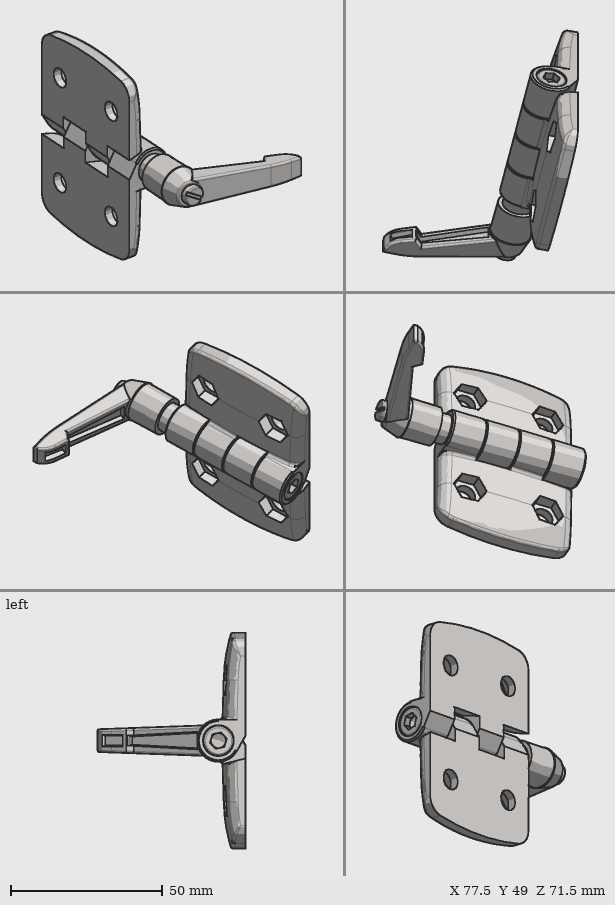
import cadquery as cq
import math


LEAF_WIDTH = 48.05
LEAF_HEIGHT = 35.76
END_RADIUS = 100.0
CORNER_RADIUS = 6.0
CROWN_HEIGHT = 7.75
CROWN_RADIUS = 201.5
SIDE_ROUND = 3.7
END_ROUND = 1.25
STRAIGHT_START = 5.4
STRAIGHT_END = 20.15
BACK_SLOPE = 0.03
BEND_RADIUS = 51.15
ROOT_ROUND = 1.1
HOLE_DIAMETER = 6.8
HOLE_LENGTH = 3.0
HEAD_RECESS_FLATS = 10.0
HOLE_INSET = 10.0
HOLE_HEIGHT = 20.0

AXIS_Y = 9.0
KNUCKLE_RADIUS = 7.0
KNUCKLE_COUNT = 4
KNUCKLE_PITCH = LEAF_WIDTH / KNUCKLE_COUNT
KNUCKLE_GAP = 0.2
KNUCKLE_CHAMFER = 0.2
OUTER_CHAMFER = 0.55
WEB_FOOT = 1.55
NOTCH_FRONT = 5.9
NOTCH_SLOPE = 0.25

HEAD_RADIUS = 4.95
HEAD_LENGTH = 6.0
HEAD_ROUND = 0.6
HEAD_CLEARANCE = 0.15
SHANK_RADIUS = 3.0
SCREW_LENGTH = 57.35
SOCKET_FLATS = 4.95
SOCKET_DEPTH = 2.5
SOCKET_ANGLE = 13.0
SOCKET_TIP = 1.25

INSERT_RADIUS = 5.1
INSERT_END = 60.45
HUB_START = 52.1
HUB_START_RADIUS = 6.7
HUB_RIM = 63.2
HUB_FLARE_RADIUS = 6.8
HUB_RIM_RADIUS = 7.01
HUB_RIM_WIDTH = 0.2
HUB_TIP = 72.1
HUB_CONE_SLOPE = 0.32
HUB_END_ROUND = 0.8
ARM_ROOT_HALF = 5.0
ARM_TIP_HALF = 3.8
ARM_ROOT_Y = 14.65
LEVER_TIP_Y = 49.0
LEVER_TIP_X = 77.5
ARM_ROUND = 0.8
POCKET_DEPTH = 1.55
POCKET_TAPER = 15.0
POCKET_CLEARANCE = 2.7
LONG_POCKET_START = 16.05
LONG_POCKET_END = 38.4
LONG_POCKET_ROOT_HALF = 2.95
LONG_POCKET_TIP_HALF = 1.7
TIP_POCKET_START = 40.6
TIP_POCKET_END = (73.6, 47.4)
TIP_POCKET_HALF = 2.0

HUB_END_LOW = (68.8, 1.9)
HUB_END_HIGH = (70.75, 12.95)
ARM_FOOT_INNER = (63.55, 13.55)
HOOK_ROOT = (72.3, 37.05)
HOOK_CORNER = (69.9, 39.4)
HOOK_TOP = (71.7, 44.5)
TIP_ARC_MIDDLE = (73.4, 47.2)
TIP_EDGE_X = 75.95
ARM_BEND = (76.55, 37.05)

BUTTON_RADIUS = 3.6
BUTTON_END = 72.15
BUTTON_ROUND = 0.5
SLOT_WIDTH = 1.2
SLOT_DEPTH = 0.7
SLOT_ANGLE = 32.0


def axial_cylinder(radius, start, end):
    """Cylinder on the hinge axis between two X positions."""
    return cq.Workplane("YZ", origin=(start, AXIS_Y, 0)).circle(radius).extrude(end - start)


def leaf_outline():
    """Mounting face outline with its bowed free end, from the hinge axis upwards."""
    half = LEAF_WIDTH / 2
    shoulder = LEAF_HEIGHT - END_RADIUS + math.sqrt(END_RADIUS**2 - half**2)
    return (
        cq.Workplane("XZ")
        .lineTo(LEAF_WIDTH, 0)
        .lineTo(LEAF_WIDTH, shoulder)
        .threePointArc((half, LEAF_HEIGHT), (0, shoulder))
        .close()
        .extrude(-2 * CROWN_HEIGHT)
        .edges("|Y")
        .edges(">Z")
        .fillet(CORNER_RADIUS)
    )


def crowned_back():
    """Bar with a crowned, side-rounded section, swept along the bending back."""
    half = LEAF_WIDTH / 2
    edge = CROWN_HEIGHT - CROWN_RADIUS + math.sqrt(CROWN_RADIUS**2 - half**2)
    section = (
        cq.Sketch()
        .segment((0, edge), (0, -CROWN_HEIGHT))
        .segment((LEAF_WIDTH, -CROWN_HEIGHT))
        .segment((LEAF_WIDTH, edge))
        .arc((LEAF_WIDTH, edge), (half, CROWN_HEIGHT), (0, edge))
        .assemble()
        .vertices(">Y")
        .fillet(SIDE_ROUND)
    )
    tilt = math.atan(BACK_SLOPE)
    bend_start_y = -BACK_SLOPE * (STRAIGHT_END - STRAIGHT_START)

    def bend_point(angle):
        return (
            bend_start_y - BEND_RADIUS * (math.cos(tilt) - math.cos(angle)),
            STRAIGHT_END + BEND_RADIUS * (math.sin(angle) - math.sin(tilt)),
        )

    end_angle = tilt + 1.2 * (LEAF_HEIGHT - STRAIGHT_END) / BEND_RADIUS
    path = (
        cq.Workplane("YZ")
        .moveTo(0, STRAIGHT_START)
        .lineTo(bend_start_y, STRAIGHT_END)
        .threePointArc(bend_point((tilt + end_angle) / 2), bend_point(end_angle))
    )
    return cq.Workplane("XY", origin=(0, 0, STRAIGHT_START)).placeSketch(section).sweep(path)


def leaf_plate():
    """Plate of a leaf, with rounded free end and a shelf that carries the knuckles."""
    plate = leaf_outline().intersect(crowned_back())
    end_edges = plate.edges(cq.selectors.BoxSelector(
        (-0.8, END_ROUND, LEAF_HEIGHT - CORNER_RADIUS - END_ROUND - 0.8),
        (LEAF_WIDTH + 0.8, CROWN_HEIGHT, LEAF_HEIGHT + 0.8),
    )).edges("%BSPLINE")
    plate = end_edges.fillet(END_ROUND)
    shelf_height = KNUCKLE_RADIUS - STRAIGHT_START
    shelf = (
        cq.Workplane("XY", origin=(0, 0, STRAIGHT_START))
        .rect(LEAF_WIDTH, AXIS_Y, centered=False)
        .extrude(shelf_height)
    )
    root_edges = plate.union(shelf).edges(cq.selectors.BoxSelector(
        (-0.8, 0.8, KNUCKLE_RADIUS - 0.1), (LEAF_WIDTH + 0.8, AXIS_Y - 0.1, KNUCKLE_RADIUS + 0.1),
    ))
    return root_edges.fillet(ROOT_ROUND)


def leaf_holes():
    """Bolt holes from the mounting face, with hexagonal head recesses from the back."""
    places = [(HOLE_INSET, HOLE_HEIGHT), (LEAF_WIDTH - HOLE_INSET, HOLE_HEIGHT)]
    back = -2 * CROWN_HEIGHT
    bores = cq.Workplane("XZ").pushPoints(places).circle(HOLE_DIAMETER / 2).extrude(back)
    hexagon = cq.Sketch().regularPolygon(HEAD_RECESS_FLATS / math.sqrt(3), 6, 90)
    recesses = (
        cq.Workplane("XZ", origin=(0, HOLE_LENGTH, 0))
        .pushPoints(places)
        .placeSketch(hexagon)
        .extrude(back)
    )
    return bores.union(recesses)


def knuckle(index):
    """Barrel joined to the plate by a web that leaves the barrel along two tangents."""
    start = index * KNUCKLE_PITCH
    end = start + KNUCKLE_PITCH
    if index > 0:
        start += KNUCKLE_GAP / 2
    if index < KNUCKLE_COUNT - 1:
        end -= KNUCKLE_GAP / 2
    foot_distance = math.hypot(AXIS_Y, WEB_FOOT)
    tangent_angle = math.asin(KNUCKLE_RADIUS / foot_distance) + math.atan(WEB_FOOT / AXIS_Y)
    web = (
        cq.Workplane("YZ", origin=(start, 0, 0))
        .moveTo(0, KNUCKLE_RADIUS)
        .lineTo(0, WEB_FOOT)
        .lineTo(AXIS_Y - KNUCKLE_RADIUS * math.sin(tangent_angle), -KNUCKLE_RADIUS * math.cos(tangent_angle))
        .lineTo(AXIS_Y, 0)
        .lineTo(AXIS_Y, KNUCKLE_RADIUS)
        .close()
        .extrude(end - start)
    )
    barrel = axial_cylinder(KNUCKLE_RADIUS, start, end)
    barrel = barrel.edges("<X").chamfer(OUTER_CHAMFER if index == 0 else KNUCKLE_CHAMFER)
    barrel = barrel.edges(">X").chamfer(OUTER_CHAMFER if index == KNUCKLE_COUNT - 1 else KNUCKLE_CHAMFER)
    return barrel.union(web)


def notch(index):
    """Clearance in the plate beside a knuckle of the other leaf, with a sloping floor."""
    start = index * KNUCKLE_PITCH - KNUCKLE_GAP / 2
    depth = 2 * CROWN_HEIGHT
    return (
        cq.Workplane("YZ", origin=(start, 0, 0))
        .lineTo(0, NOTCH_FRONT)
        .lineTo(depth, NOTCH_FRONT + NOTCH_SLOPE * depth)
        .lineTo(depth, 0)
        .close()
        .extrude(KNUCKLE_PITCH + KNUCKLE_GAP)
    )


def leaf():
    """Leaf above the hinge axis, with the first and third knuckles."""
    body = leaf_plate().cut(leaf_holes())
    for index in range(0, KNUCKLE_COUNT, 2):
        body = body.cut(notch(index + 1))
        body = body.union(knuckle(index))
    return body.cut(axial_cylinder(SHANK_RADIUS, 0, LEAF_WIDTH))


def upper_leaf():
    """Leaf that also takes the screw head in a counterbore."""
    return leaf().cut(axial_cylinder(HEAD_RADIUS + HEAD_CLEARANCE, 0, HEAD_LENGTH))


def lower_leaf():
    """The same leaf turned half a turn, so that its knuckles fill the gaps."""
    middle = LEAF_WIDTH / 2
    return leaf().rotate((middle, 0, 0), (middle, 1, 0), 180)


def cap_screw():
    """Socket head screw running through all knuckles into the lever insert."""
    head = axial_cylinder(HEAD_RADIUS, 0, HEAD_LENGTH).edges("<X").fillet(HEAD_ROUND)
    shank = axial_cylinder(SHANK_RADIUS, HEAD_LENGTH, SCREW_LENGTH)
    socket_radius = SOCKET_FLATS / math.sqrt(3)
    socket = (
        cq.Workplane("YZ", origin=(0, AXIS_Y, 0))
        .transformed(rotate=(0, 0, -SOCKET_ANGLE))
        .polygon(6, 2 * socket_radius)
        .extrude(SOCKET_DEPTH)
    )
    tip = cq.Workplane(cq.Solid.makeCone(
        SOCKET_FLATS / 2, 0, SOCKET_TIP,
        pnt=cq.Vector(SOCKET_DEPTH, AXIS_Y, 0), dir=cq.Vector(1, 0, 0),
    ))
    return head.union(shank).cut(socket).cut(tip)


def lever_insert():
    """Threaded bush between the last knuckle and the lever."""
    bush = axial_cylinder(INSERT_RADIUS, LEAF_WIDTH, INSERT_END)
    return bush.cut(axial_cylinder(SHANK_RADIUS, LEAF_WIDTH, SCREW_LENGTH))


def point_between(start, end, y):
    """Point at a given Y on the straight line through two points."""
    share = (y - start[1]) / (end[1] - start[1])
    return (start[0] + share * (end[0] - start[0]), y)


def lever_hub():
    """Turned hub, flaring to its rim and then tapering to a slanted end."""
    tip_radius = HUB_RIM_RADIUS - HUB_CONE_SLOPE * (HUB_TIP - HUB_RIM)
    turned = (
        cq.Workplane("XY", origin=(0, AXIS_Y, 0))
        .moveTo(HUB_START, 0)
        .lineTo(HUB_START, HUB_START_RADIUS)
        .lineTo(HUB_RIM - HUB_RIM_WIDTH, HUB_FLARE_RADIUS)
        .lineTo(HUB_RIM - HUB_RIM_WIDTH, HUB_RIM_RADIUS)
        .lineTo(HUB_RIM, HUB_RIM_RADIUS)
        .lineTo(HUB_TIP, tip_radius)
        .lineTo(HUB_TIP, 0)
        .close()
        .revolve(360, (0, 0, 0), (1, 0, 0))
    )
    hub_top = AXIS_Y + HUB_RIM_RADIUS
    slanted_end = (
        cq.Workplane("XY")
        .moveTo(HUB_START, 0)
        .lineTo(HUB_END_LOW[0], 0)
        .lineTo(*HUB_END_LOW)
        .lineTo(*point_between(HUB_END_LOW, HUB_END_HIGH, hub_top))
        .lineTo(HUB_START, hub_top)
        .close()
        .extrude(2 * HUB_RIM_RADIUS, both=True)
    )
    return turned.intersect(slanted_end).edges(">X").fillet(HUB_END_ROUND)


def arm_blank():
    """Arm outline with a hooked tip, tapering in thickness towards the tip."""
    foot_outer = point_between(HUB_END_HIGH, ARM_BEND, AXIS_Y)
    lean = math.atan2(ARM_BEND[0] - HUB_END_HIGH[0], ARM_BEND[1] - HUB_END_HIGH[1])
    flat_start = ARM_BEND[1] + (LEVER_TIP_X - ARM_BEND[0]) / math.tan(lean / 2)
    outline = (
        cq.Workplane("XY")
        .moveTo(*foot_outer)
        .lineTo(*ARM_BEND)
        .tangentArcPoint((LEVER_TIP_X, flat_start), relative=False)
        .lineTo(LEVER_TIP_X, LEVER_TIP_Y)
        .lineTo(TIP_EDGE_X, LEVER_TIP_Y)
        .threePointArc(TIP_ARC_MIDDLE, HOOK_TOP)
        .lineTo(*HOOK_CORNER)
        .lineTo(*HOOK_ROOT)
        .lineTo(*ARM_FOOT_INNER)
        .close()
        .extrude(HUB_RIM_RADIUS, both=True)
    )
    taper = (ARM_ROOT_HALF - ARM_TIP_HALF) / (LEVER_TIP_Y - ARM_ROOT_Y)
    foot_half = ARM_ROOT_HALF + taper * (ARM_ROOT_Y - AXIS_Y)
    tapered = (
        cq.Workplane("YZ", origin=(HUB_START, 0, 0))
        .polyline([
            (AXIS_Y, -foot_half), (LEVER_TIP_Y, -ARM_TIP_HALF),
            (LEVER_TIP_Y, ARM_TIP_HALF), (AXIS_Y, foot_half),
        ])
        .close()
        .extrude(LEVER_TIP_X - HUB_START)
    )
    return outline.intersect(tapered)


def arm_pocket(lower, upper, lower_half, upper_half):
    """Recess in the inner face of the arm, between two points on that face."""
    along = cq.Vector(upper[0] - lower[0], upper[1] - lower[1], 0)
    inward = cq.Vector(along.y, -along.x, 0).normalized()
    face = cq.Plane(origin=(lower[0], lower[1], 0), xDir=along, normal=inward)
    corners = [
        (0, -lower_half), (along.Length, -upper_half),
        (along.Length, upper_half), (0, lower_half),
    ]
    recess = cq.Workplane(face).polyline(corners).close().extrude(POCKET_DEPTH, taper=POCKET_TAPER)
    clearance = cq.Workplane(face).polyline(corners).close().extrude(-POCKET_CLEARANCE)
    return recess.union(clearance)


def clamping_lever():
    """Hub and hooked arm, with two pockets and bores for the insert and the screw."""
    arm = arm_blank().faces("<Z or >Z").edges().fillet(ARM_ROUND)
    body = lever_hub().union(arm)
    body = body.cut(arm_pocket(
        point_between(ARM_FOOT_INNER, HOOK_ROOT, LONG_POCKET_START),
        point_between(ARM_FOOT_INNER, HOOK_ROOT, LONG_POCKET_END),
        LONG_POCKET_ROOT_HALF, LONG_POCKET_TIP_HALF,
    ))
    body = body.cut(arm_pocket(
        point_between(HOOK_CORNER, HOOK_TOP, TIP_POCKET_START),
        TIP_POCKET_END,
        TIP_POCKET_HALF, TIP_POCKET_HALF,
    ))
    body = body.cut(axial_cylinder(INSERT_RADIUS, HUB_START, INSERT_END))
    return body.cut(axial_cylinder(BUTTON_RADIUS, INSERT_END, BUTTON_END))


def lever_screw():
    """Slotted screw seated in the hub behind the insert."""
    screw = axial_cylinder(BUTTON_RADIUS, INSERT_END, BUTTON_END).edges(">X").fillet(BUTTON_ROUND)
    slot = (
        cq.Workplane("XY")
        .box(2 * SLOT_DEPTH, 3 * BUTTON_RADIUS, SLOT_WIDTH)
        .rotate((0, 0, 0), (1, 0, 0), -SLOT_ANGLE)
        .translate((BUTTON_END, AXIS_Y, 0))
    )
    return screw.cut(slot)


result = cq.Compound.makeCompound([
    upper_leaf().val(),
    lower_leaf().val(),
    cap_screw().val(),
    lever_insert().val(),
    clamping_lever().val(),
    lever_screw().val(),
])